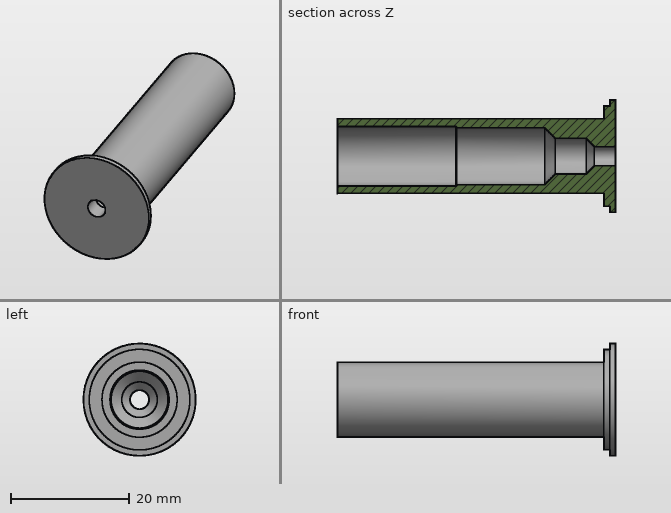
import cadquery as cq

total_length = 47.0
flange_thickness = 1.0
shoulder_thickness = 1.0

tube_diameter = 12.7
shoulder_diameter = 17.0
flange_diameter = 19.0

mouth_diameter = 10.0
bore_diameter = 9.6
throat_diameter = 6.0
outlet_diameter = 3.17
mouth_depth = 20.0
bore_depth = 35.0
throat_depth = 42.0

flange_start = total_length - flange_thickness
shoulder_start = flange_start - shoulder_thickness


def revolve_about_x(profile_points):
    """Turn an (axial position, radius) outline about the X axis."""
    return cq.Workplane("XY").polyline(profile_points).close().revolve(360, (0, 0, 0), (1, 0, 0))


def cone_step(start, large_diameter, small_diameter):
    """Narrow and wide ends of a 45 degree cone that begins at the given depth."""
    large_radius = large_diameter / 2
    small_radius = small_diameter / 2
    return [(start + large_radius - small_radius, small_radius), (start, large_radius)]


def turned_profile():
    """Half section of the part, outside first and then back along the bore."""
    outside = [
        (0, tube_diameter / 2),
        (shoulder_start, tube_diameter / 2),
        (shoulder_start, shoulder_diameter / 2),
        (flange_start, shoulder_diameter / 2),
        (flange_start, flange_diameter / 2),
        (total_length, flange_diameter / 2),
    ]
    bore = [
        (total_length, outlet_diameter / 2),
        *cone_step(throat_depth, throat_diameter, outlet_diameter),
        *cone_step(bore_depth, bore_diameter, throat_diameter),
        *cone_step(mouth_depth, mouth_diameter, bore_diameter),
        (0, mouth_diameter / 2),
    ]
    return outside + bore


result = revolve_about_x(turned_profile())